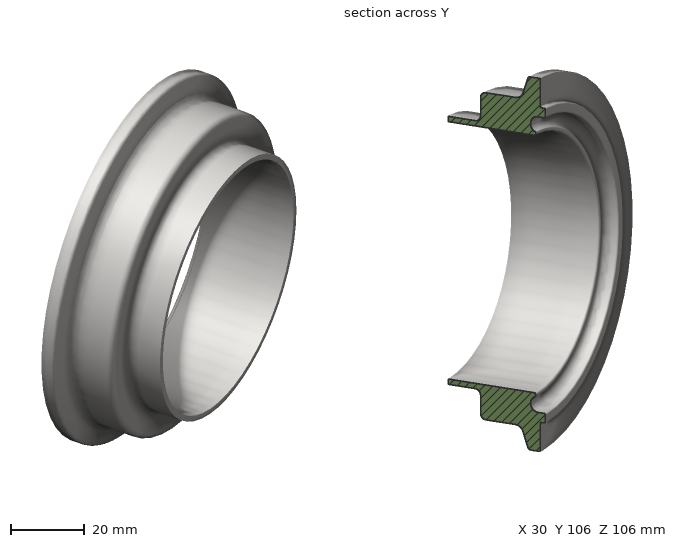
import cadquery as cq

flange_radius = 53.0
body_radius = 93.0 / 2
spigot_radius = 89.5 / 2
neck_radius = 76.2 / 2
bore_radius = 72.9 / 2

flange_face_x = 1.6
flange_back_x = 5.3
groove_wall_end_x = 2.3
inner_lip_x = 3.0
groove_bottom_x = 4.6
body_start_x = 7.5
shoulder_x = 20.0
length = 30.0

flange_edge_round = 1.1
cone_root_round = 2.1
body_edge_round = 1.7
neck_root_round = 1.5
spigot_edge_round = 0.4
spigot_root_round = 0.3
bore_mouth_round = 0.6
groove_edge_round = 0.5
inner_lip_round = 0.3

groove_outer_radius = 41.9
groove_bottom_radius = 39.6
groove_inner_radius = 37.5


def revolve_about_x(profile):
    return profile.close().revolve(360, (0, 0, 0), (1, 0, 0))


def edges_at(x, radius):
    """Select the circular edge with the given X position and radius."""
    margin = 0.05
    box = (x - margin, -radius - margin, -radius - margin)
    opposite = (x + margin, radius + margin, radius + margin)
    inner = radius - margin
    in_slab = cq.selectors.BoxSelector(box, opposite, boundingbox=True)
    in_bore = cq.selectors.BoxSelector(
        (x - margin, -inner, -inner), (x + margin, inner, inner), boundingbox=True
    )
    return in_slab - in_bore


def make_stepped_ring():
    profile = (
        cq.Workplane("XY")
        .moveTo(0, bore_radius)
        .lineTo(0, spigot_radius)
        .lineTo(flange_face_x, spigot_radius)
        .lineTo(flange_face_x, flange_radius)
        .lineTo(flange_back_x, flange_radius)
        .lineTo(body_start_x, body_radius)
        .lineTo(shoulder_x, body_radius)
        .lineTo(shoulder_x, neck_radius)
        .lineTo(length, neck_radius)
        .lineTo(length, bore_radius)
    )
    return revolve_about_x(profile)


def make_groove():
    profile = (
        cq.Workplane("XY")
        .moveTo(0, bore_radius)
        .lineTo(inner_lip_x, bore_radius)
        .lineTo(inner_lip_x, groove_inner_radius)
        .threePointArc((groove_bottom_x, groove_bottom_radius), (groove_wall_end_x, groove_outer_radius))
        .lineTo(0, groove_outer_radius)
    )
    return revolve_about_x(profile)


result = make_stepped_ring().cut(make_groove())

rounds = [
    (0, spigot_radius, spigot_edge_round),
    (flange_face_x, spigot_radius, spigot_root_round),
    (flange_back_x, flange_radius, flange_edge_round),
    (body_start_x, body_radius, cone_root_round),
    (shoulder_x, body_radius, body_edge_round),
    (shoulder_x, neck_radius, neck_root_round),
    (inner_lip_x, bore_radius, bore_mouth_round),
    (inner_lip_x, groove_inner_radius, inner_lip_round),
    (0, groove_outer_radius, groove_edge_round),
]
for edge_x, edge_radius, round_radius in rounds:
    result = result.edges(edges_at(edge_x, edge_radius)).fillet(round_radius)